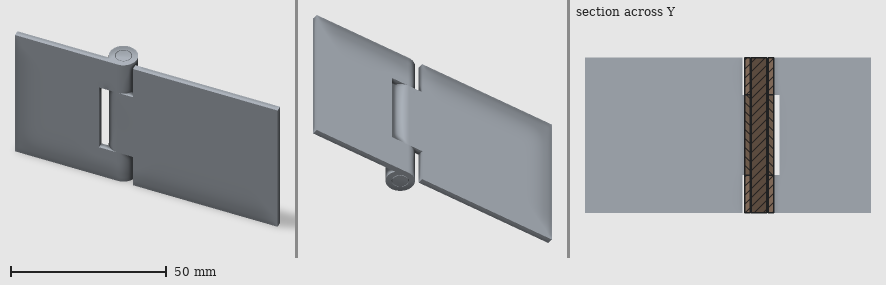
import cadquery as cq

hinge_length = 92.0
hinge_height = 50.0
leaf_thickness = 2.0

knuckle_diameter = 9.5
knuckle_radius = knuckle_diameter / 2
axis_x = 36.0
axis_y = knuckle_radius
middle_knuckle_height = 25.7
end_knuckle_height = (hinge_height - middle_knuckle_height) / 2

bore_diameter = 5.5
pin_diameter = 5.15

window_edge_x = 29.4
right_leaf_edge_x = 41.3


def upright_box(x_start, x_end, z_start, height):
    """Flat piece of leaf between two X positions."""
    return cq.Workplane("XY").box(x_end - x_start, leaf_thickness, height, centered=False).translate(
        (x_start, 0, z_start)
    )


def axis_cylinder(diameter, z_start, height):
    """Solid cylinder on the hinge axis."""
    return cq.Workplane("XY", origin=(axis_x, axis_y, z_start)).circle(diameter / 2).extrude(height)


def cut_bore(leaf):
    """Cut the pin bore through the knuckles of a leaf."""
    return leaf.cut(axis_cylinder(bore_diameter, 0, hinge_height))


def make_left_leaf():
    """Leaf with a knuckle at each end and a window for the middle knuckle."""
    leaf = upright_box(0, window_edge_x, 0, hinge_height)
    for z_start in (0, hinge_height - end_knuckle_height):
        leaf = leaf.union(upright_box(window_edge_x, axis_x, z_start, end_knuckle_height))
        leaf = leaf.union(axis_cylinder(knuckle_diameter, z_start, end_knuckle_height))
    return cut_bore(leaf)


def make_right_leaf():
    """Leaf with a single middle knuckle."""
    leaf = upright_box(right_leaf_edge_x, hinge_length, 0, hinge_height)
    tongue = upright_box(axis_x, right_leaf_edge_x, end_knuckle_height, middle_knuckle_height)
    knuckle = axis_cylinder(knuckle_diameter, end_knuckle_height, middle_knuckle_height)
    return cut_bore(leaf.union(tongue).union(knuckle))


def make_pin():
    """Plain pin, flush with both ends of the hinge."""
    return axis_cylinder(pin_diameter, 0, hinge_height)


left_leaf = make_left_leaf()
right_leaf = make_right_leaf()
pin = make_pin()

result = cq.Compound.makeCompound([left_leaf.val(), right_leaf.val(), pin.val()])